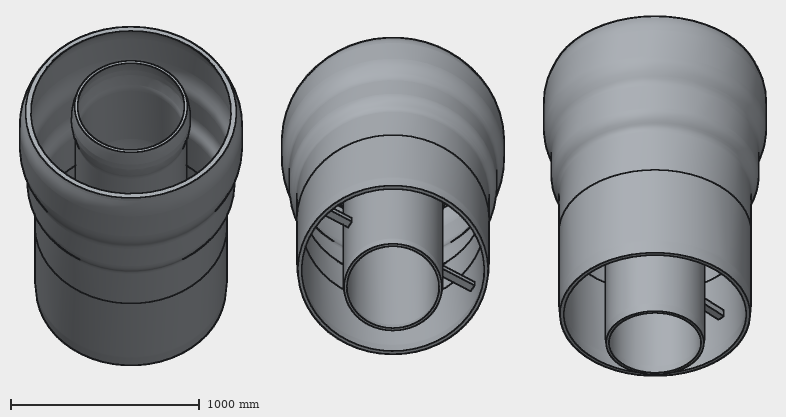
import cadquery as cq
import math

DUCT_WALL = 20.0
DUCT_PIPE_D = 1020.0
DUCT_NECK_D = 1100.0
DUCT_BULGE_D = 1180.0
DUCT_BOTTOM_Z = 198.0
DUCT_SEAM_Z = 770.0
DUCT_LOWER_STEP = (1038.0, 1085.0, 1165.0)
DUCT_UPPER_STEP = (1323.0, 1376.0, 1493.0)
DUCT_BULGE_TOP_Z = 1675.0
DUCT_LIP_Z = 1780.0
DUCT_TOP_Z = 1798.0
DUCT_LIP_D = 1130.0
DUCT_MOUTH_D = 1117.0
DUCT_TIP_D = 1008.0
DUCT_TAPER_Z = 274.0
DUCT_TAPER_BLEND = 11.0

FLUE_WALL = 15.0
FLUE_PIPE_D = 530.0
FLUE_NECK_D = 590.0
FLUE_BULGE_D = 630.0
FLUE_LOWER_STEP = DUCT_LOWER_STEP
FLUE_UPPER_STEP = (1604.0, 1641.0, 1719.0)
FLUE_BULGE_TOP_Z = 1761.0
FLUE_TOP_Z = 1850.0
FLUE_MOUTH_D = 598.0
FLUE_TIP_D = 518.0
FLUE_TAPER_Z = 46.0
FLUE_TAPER_BLEND = 5.0

SPACER_SIDE = 40.0
SPACER_Z = (DUCT_BOTTOM_Z + DUCT_SEAM_Z) / 2
SPACER_ANGLES = (0, 180)


def arc_radius(height, drop):
    """Radius of an arc that starts vertical and moves sideways by drop over height."""
    return (height**2 + drop**2) / (2 * drop)


def add_step(path, step, lower_d, upper_d, inset):
    """Widen the profile upward with two tangent arcs, each inset along its normal."""
    bottom, turn, top = step
    lower_r, upper_r = lower_d / 2, upper_d / 2
    radius = arc_radius(top - bottom, upper_r - lower_r)
    concave = radius * (turn - bottom) / (top - bottom)
    convex = radius - concave
    angle = math.asin((top - bottom) / radius)
    concave_center = lower_r + concave
    convex_center = upper_r - convex
    concave += inset
    convex -= inset

    def on_concave(a):
        return concave_center - concave * math.cos(a), bottom + concave * math.sin(a)

    def on_convex(a):
        return convex_center + convex * math.cos(a), top - convex * math.sin(a)

    path = path.lineTo(*on_concave(0)).threePointArc(on_concave(angle / 2), on_concave(angle))
    return path.threePointArc(on_convex(angle / 2), on_convex(0))


def add_crown(path, bulge_d, end_d, start_z, end_z, inset, stop_z):
    """Curve inward above a bulge, through end_d at end_z when not inset, up to stop_z."""
    radius = arc_radius(end_z - start_z, (bulge_d - end_d) / 2)
    center = bulge_d / 2 - radius
    radius -= inset
    angle = math.asin((stop_z - start_z) / radius)

    def on_crown(a):
        return center + radius * math.cos(a), start_z + radius * math.sin(a)

    return path.lineTo(*on_crown(0)).threePointArc(on_crown(angle / 2), on_crown(angle))


def add_taper(path, pipe_d, tip_d, bottom_z, taper_z, blend, inset):
    """Start a pipe with a tapered end that is rounded into the straight wall."""
    slope = (pipe_d - tip_d) / 2 / (taper_z + blend / 2 - bottom_z)
    angle = math.atan(slope)
    radius = blend / math.sin(angle)
    center_r = pipe_d / 2 - radius
    center_z = taper_z + blend
    radius -= inset

    def on_blend(a):
        return center_r + radius * math.cos(a), center_z - radius * math.sin(a)

    blend_start_r, blend_start_z = on_blend(angle)
    tip_r = blend_start_r - slope * (blend_start_z - bottom_z)
    path = path.lineTo(tip_r, bottom_z).lineTo(blend_start_r, blend_start_z)
    return path.threePointArc(on_blend(angle / 2), on_blend(0))


def revolve_to_axis(path, top_z):
    """Close a profile along the Z axis and turn it into a solid."""
    return path.lineTo(0, top_z).close().revolve(360, (0, 0, 0), (0, 1, 0))


def duct_socket_form(inset):
    path = cq.Workplane("XZ").moveTo(0, DUCT_SEAM_Z).lineTo(DUCT_PIPE_D / 2 - inset, DUCT_SEAM_Z)
    path = add_step(path, DUCT_LOWER_STEP, DUCT_PIPE_D, DUCT_NECK_D, inset)
    path = add_step(path, DUCT_UPPER_STEP, DUCT_NECK_D, DUCT_BULGE_D, inset)
    crown_top = DUCT_TOP_Z if inset else DUCT_LIP_Z
    path = add_crown(path, DUCT_BULGE_D, DUCT_LIP_D, DUCT_BULGE_TOP_Z, DUCT_LIP_Z, inset, crown_top)
    if not inset:
        path = path.lineTo(DUCT_MOUTH_D / 2, DUCT_TOP_Z)
    return revolve_to_axis(path, DUCT_TOP_Z)


def duct_pipe_form(inset):
    path = cq.Workplane("XZ").moveTo(0, DUCT_BOTTOM_Z)
    path = add_taper(
        path, DUCT_PIPE_D, DUCT_TIP_D, DUCT_BOTTOM_Z, DUCT_TAPER_Z, DUCT_TAPER_BLEND, inset
    )
    path = path.lineTo(DUCT_PIPE_D / 2 - inset, DUCT_SEAM_Z)
    return revolve_to_axis(path, DUCT_SEAM_Z)


def flue_form(inset):
    path = cq.Workplane("XZ").moveTo(0, 0)
    path = add_taper(path, FLUE_PIPE_D, FLUE_TIP_D, 0, FLUE_TAPER_Z, FLUE_TAPER_BLEND, inset)
    path = add_step(path, FLUE_LOWER_STEP, FLUE_PIPE_D, FLUE_NECK_D, inset)
    path = add_step(path, FLUE_UPPER_STEP, FLUE_NECK_D, FLUE_BULGE_D, inset)
    path = add_crown(
        path, FLUE_BULGE_D, FLUE_MOUTH_D, FLUE_BULGE_TOP_Z, FLUE_TOP_Z, inset, FLUE_TOP_Z
    )
    return revolve_to_axis(path, FLUE_TOP_Z)


def hollow(form, wall):
    """Thin-walled body: the outer form less the same form inset by the wall."""
    return form(0).cut(form(wall)).solids()


def spacer(angle):
    """Square bar whose ends follow the flue outside and the duct bore."""
    bore_r = DUCT_PIPE_D / 2 - DUCT_WALL
    gap = (
        cq.Workplane("XY", origin=(0, 0, SPACER_Z))
        .circle(bore_r)
        .circle(FLUE_PIPE_D / 2)
        .extrude(SPACER_SIDE / 2, both=True)
    )
    bar = cq.Workplane("XY", origin=(0, 0, SPACER_Z)).box(
        DUCT_PIPE_D / 2, SPACER_SIDE, SPACER_SIDE, centered=(False, True, True)
    )
    return bar.intersect(gap).rotate((0, 0, 0), (0, 0, 1), angle).solids()


duct_socket = hollow(duct_socket_form, DUCT_WALL)
duct_pipe = hollow(duct_pipe_form, DUCT_WALL)
flue = hollow(flue_form, FLUE_WALL)
spacers = [spacer(angle) for angle in SPACER_ANGLES]

result = cq.Compound.makeCompound(
    [duct_socket.val(), duct_pipe.val(), flue.val(), *[bar.val() for bar in spacers]]
)